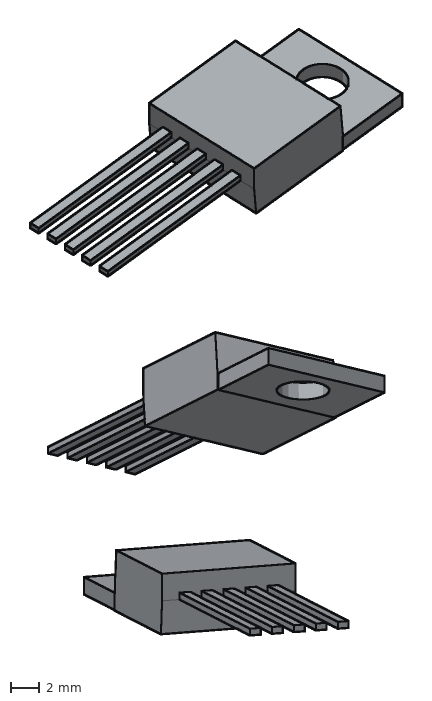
import cadquery as cq
import math

total_length = 29.5
tab_end_y = total_length / 2
lead_tip_y = -total_length / 2

body_width = 10.2
body_height = 4.45
parting_height = 2.48
draft = math.tan(math.radians(5))

tab_width = 10.05
tab_length = 6.3
tab_thickness = 1.27
hole_diameter = 3.75
hole_to_tab_end = 2.95

lead_count = 5
lead_pitch = 1.68
lead_width = 0.83
lead_thickness = 0.5
lead_length = 13.9

body_back_y = tab_end_y - tab_length
body_front_y = lead_tip_y + lead_length


def make_body():
    """Moulded block, with its back face drafted above the tab and its front face below the leads."""
    back_top_y = body_back_y - (body_height - tab_thickness) * draft
    front_base_y = body_front_y + parting_height * draft
    return (
        cq.Workplane("YZ")
        .moveTo(front_base_y, 0)
        .lineTo(body_back_y, 0)
        .lineTo(body_back_y, tab_thickness)
        .lineTo(back_top_y, body_height)
        .lineTo(body_front_y, body_height)
        .lineTo(body_front_y, parting_height)
        .close()
        .extrude(body_width / 2, both=True)
    )


def make_tab():
    """Flat mounting tab that butts against the back of the body, with a screw hole."""
    return (
        cq.Workplane("XY")
        .center(0, tab_end_y - tab_length / 2)
        .rect(tab_width, tab_length)
        .extrude(tab_thickness)
        .faces(">Z")
        .workplane(origin=(0, tab_end_y - hole_to_tab_end, 0))
        .hole(hole_diameter)
    )


def make_lead(center_x):
    """Straight rectangular lead that rests at the parting height and butts against the body."""
    return (
        cq.Workplane("XY", origin=(center_x, lead_tip_y + lead_length / 2, parting_height))
        .rect(lead_width, lead_length)
        .extrude(lead_thickness)
    )


body = make_body()
tab = make_tab()
leads = []
for index in range(lead_count):
    offset = index - (lead_count - 1) / 2
    leads.append(make_lead(offset * lead_pitch).val())

result = cq.Compound.makeCompound([body.val(), tab.val(), *leads])